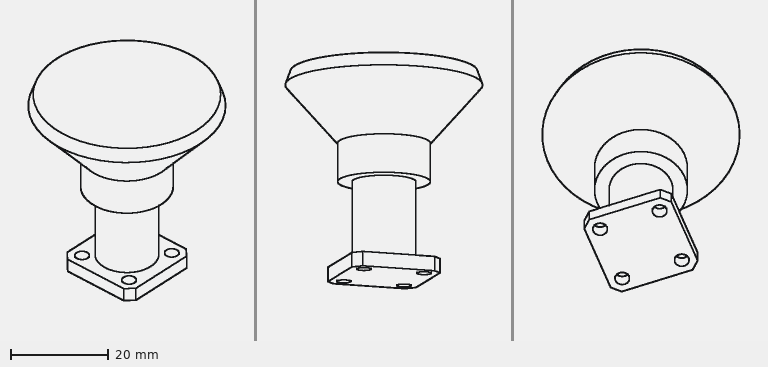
import cadquery as cq

plate_top = 3.02
stem_top = 20.05
collar_top = 28.1
rim_height = 40.35
total_height = 43.2

stem_diameter = 13.13
collar_diameter = 19.1
rim_diameter = 40.6
face_diameter = 38.5

plate_width = collar_diameter
corner_chamfer = 1.75
hole_diameter = 3.0
hole_pitch = 13.05


def make_base_plate():
    """Square plate with chamfered corners and four through holes."""
    plate = (
        cq.Workplane("XY")
        .rect(plate_width, plate_width)
        .extrude(plate_top)
        .edges("|Z")
        .chamfer(corner_chamfer)
    )
    return (
        plate.faces(">Z")
        .workplane()
        .rect(hole_pitch, hole_pitch, forConstruction=True)
        .vertices()
        .hole(hole_diameter)
    )


def make_knob():
    """Stem, collar and flared head revolved about the Z axis."""
    profile = [
        (0, plate_top),
        (stem_diameter / 2, plate_top),
        (stem_diameter / 2, stem_top),
        (collar_diameter / 2, stem_top),
        (collar_diameter / 2, collar_top),
        (rim_diameter / 2, rim_height),
        (face_diameter / 2, total_height),
        (0, total_height),
    ]
    return cq.Workplane("XZ").polyline(profile).close().revolve(360, (0, 0), (0, 1))


result = make_base_plate().union(make_knob())